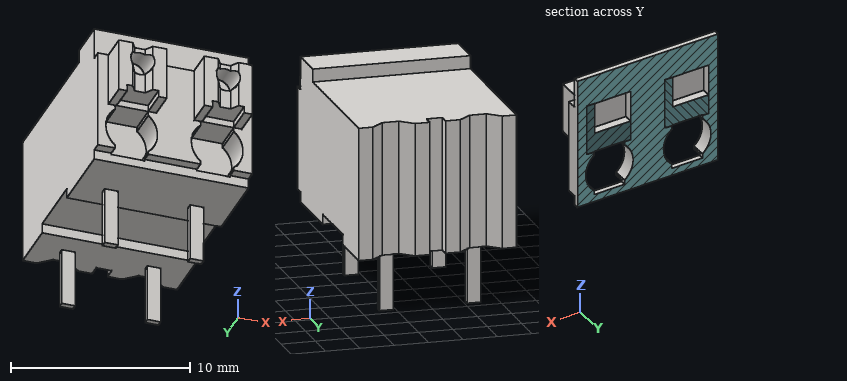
import cadquery as cq
import math

WIDTH = 9.18
LENGTH = 14.0
HOUSING_HEIGHT = 8.5
PIN_LENGTH = 3.5

POLE_PITCH = 5.08
POLE_CENTERS = (-POLE_PITCH / 2, POLE_PITCH / 2)

ROOF_DROP = 0.75
ROOF_Z = HOUSING_HEIGHT - ROOF_DROP
CAP_BACK_Y = -9.2
CAP_FRONT_Y = -11.69
PLATE_FRONT_Y = -12.29
PLATE_TOP_Z = 6.58
UNDERCUT = 0.59
UNDERCUT_BACK_Y = -3.2
UNDERCUT_FRONT_Y = -7.22

REAR_GROOVE_DEPTH = 0.67
REAR_GROOVE_MOUTH = 2.45
REAR_GROOVE_FLOOR = 0.97
CENTER_SLOT_WIDTH = 0.91

BUTTON_WIDTH = 2.84
BUTTON_HEIGHT = 3.2
BUTTON_BOTTOM_Z = PLATE_TOP_Z - BUTTON_HEIGHT
RECESS_FRONT_Y = CAP_FRONT_Y - 0.18
RECESS_DEPTH = 1.96
RECESS_RIGHT_MARGIN = 0.53
BUTTON_GROOVE_DEPTH = 0.48
BUTTON_GROOVE_MOUTH = 1.2
BUTTON_GROOVE_FLOOR = 0.62
TOOL_HOLE_DIAMETER = 1.41
TOOL_HOLE_DROP = 0.98
RELIEF_WIDTH = 1.88
RELIEF_HEIGHT = 0.39
POCKET_BACK_Y = -10.45

WIRE_HOLE_DIAMETER = 3.07
WIRE_HOLE_Z = 1.95
WIRE_HOLE_OFFSET = -0.04
WIRE_SLOT_WIDTH = 1.97
WIRE_SLOT_BOTTOM_Z = 0.5

PIN_WIDTH = 0.8
PIN_THICKNESS = 0.38
REAR_PIN_Y = -1.68
PIN_ROW_PITCH = 7.0


def box(x_min, x_max, y_min, y_max, z_min, z_max):
    """Box between the given limits."""
    size = (x_max - x_min, y_max - y_min, z_max - z_min)
    return cq.Workplane("XY").box(*size, centered=False).translate((x_min, y_min, z_min))


def trapezoid_groove(center_x, open_y, floor_y, mouth, floor, z_min, z_max):
    """Vertical groove that narrows from its mouth at open_y to its floor at floor_y."""
    outline = [
        (center_x - mouth / 2, open_y),
        (center_x - floor / 2, floor_y),
        (center_x + floor / 2, floor_y),
        (center_x + mouth / 2, open_y),
    ]
    return cq.Workplane("XY").workplane(offset=z_min).polyline(outline).close().extrude(z_max - z_min)


def make_housing_block():
    profile = [
        (0, 0),
        (0, ROOF_Z),
        (CAP_BACK_Y, ROOF_Z),
        (CAP_BACK_Y, HOUSING_HEIGHT),
        (CAP_FRONT_Y, HOUSING_HEIGHT),
        (CAP_FRONT_Y, PLATE_TOP_Z),
        (PLATE_FRONT_Y, PLATE_TOP_Z),
        (PLATE_FRONT_Y, UNDERCUT),
        (CAP_FRONT_Y, UNDERCUT),
        (CAP_FRONT_Y, 0),
        (UNDERCUT_FRONT_Y, 0),
        (UNDERCUT_FRONT_Y, UNDERCUT),
        (UNDERCUT_BACK_Y, UNDERCUT),
        (UNDERCUT_BACK_Y, 0),
    ]
    return cq.Workplane("YZ").polyline(profile).close().extrude(WIDTH / 2, both=True)


def make_wire_entry(pole_x):
    """Upright slot, bulged to a round hole at mid height, that opens into the button pocket above."""
    half_slot = WIRE_SLOT_WIDTH / 2
    radius = WIRE_HOLE_DIAMETER / 2
    arc_rise = math.sqrt(radius**2 - half_slot**2)
    bottom = WIRE_SLOT_BOTTOM_Z - WIRE_HOLE_Z
    top = BUTTON_BOTTOM_Z - WIRE_HOLE_Z
    return (
        cq.Workplane("XZ", origin=(pole_x + WIRE_HOLE_OFFSET, POCKET_BACK_Y, WIRE_HOLE_Z))
        .moveTo(-half_slot, bottom)
        .lineTo(half_slot, bottom)
        .lineTo(half_slot, -arc_rise)
        .threePointArc((radius, 0), (half_slot, arc_rise))
        .lineTo(half_slot, top)
        .lineTo(-half_slot, top)
        .lineTo(-half_slot, arc_rise)
        .threePointArc((-radius, 0), (-half_slot, -arc_rise))
        .close()
        .extrude(POCKET_BACK_Y - PLATE_FRONT_Y)
    )


def make_button_pocket(pole_x):
    return box(
        pole_x - BUTTON_WIDTH / 2,
        pole_x + BUTTON_WIDTH / 2,
        PLATE_FRONT_Y,
        POCKET_BACK_Y,
        BUTTON_BOTTOM_Z,
        PLATE_TOP_Z,
    )


def make_housing():
    housing = make_housing_block()
    for pole_x in POLE_CENTERS:
        housing = housing.cut(
            trapezoid_groove(
                pole_x, 0, -REAR_GROOVE_DEPTH, REAR_GROOVE_MOUTH, REAR_GROOVE_FLOOR, 0, ROOF_Z
            )
        )
        housing = housing.cut(make_button_pocket(pole_x))
        housing = housing.cut(make_wire_entry(pole_x))
    center_slot = box(
        -CENTER_SLOT_WIDTH / 2, CENTER_SLOT_WIDTH / 2, -REAR_GROOVE_DEPTH, 0, 0, ROOF_Z
    )
    return housing.cut(center_slot)


def make_button(pole_x):
    """Push button that fills its pocket and stands out from the front plate."""
    left_x = pole_x - BUTTON_WIDTH / 2
    right_x = pole_x + BUTTON_WIDTH / 2
    body = box(left_x, right_x, -LENGTH, POCKET_BACK_Y, BUTTON_BOTTOM_Z, PLATE_TOP_Z)
    rear_recess = box(
        left_x,
        right_x - RECESS_RIGHT_MARGIN,
        RECESS_FRONT_Y,
        POCKET_BACK_Y,
        PLATE_TOP_Z - RECESS_DEPTH,
        PLATE_TOP_Z,
    )
    groove = trapezoid_groove(
        pole_x,
        -LENGTH,
        BUTTON_GROOVE_DEPTH - LENGTH,
        BUTTON_GROOVE_MOUTH,
        BUTTON_GROOVE_FLOOR,
        BUTTON_BOTTOM_Z,
        PLATE_TOP_Z,
    )
    tool_hole = (
        cq.Workplane("XZ", origin=(pole_x, PLATE_FRONT_Y, PLATE_TOP_Z - TOOL_HOLE_DROP))
        .circle(TOOL_HOLE_DIAMETER / 2)
        .extrude(LENGTH + PLATE_FRONT_Y)
    )
    relief = box(
        pole_x - RELIEF_WIDTH / 2,
        pole_x + RELIEF_WIDTH / 2,
        -LENGTH,
        PLATE_FRONT_Y,
        BUTTON_BOTTOM_Z,
        BUTTON_BOTTOM_Z + RELIEF_HEIGHT,
    )
    return body.cut(rear_recess).cut(groove).cut(tool_hole).cut(relief)


def make_pin(pole_x, pin_y):
    """Straight flat pin that hangs from the housing underside."""
    return box(
        pole_x - PIN_WIDTH / 2,
        pole_x + PIN_WIDTH / 2,
        pin_y - PIN_THICKNESS / 2,
        pin_y + PIN_THICKNESS / 2,
        -PIN_LENGTH,
        0,
    )


housing = make_housing()
buttons = [make_button(pole_x) for pole_x in POLE_CENTERS]
pins = [
    make_pin(pole_x, pin_y)
    for pole_x in POLE_CENTERS
    for pin_y in (REAR_PIN_Y, REAR_PIN_Y - PIN_ROW_PITCH)
]

result = cq.Compound.makeCompound([
    housing.val(),
    *[button.val() for button in buttons],
    *[pin.val() for pin in pins],
])